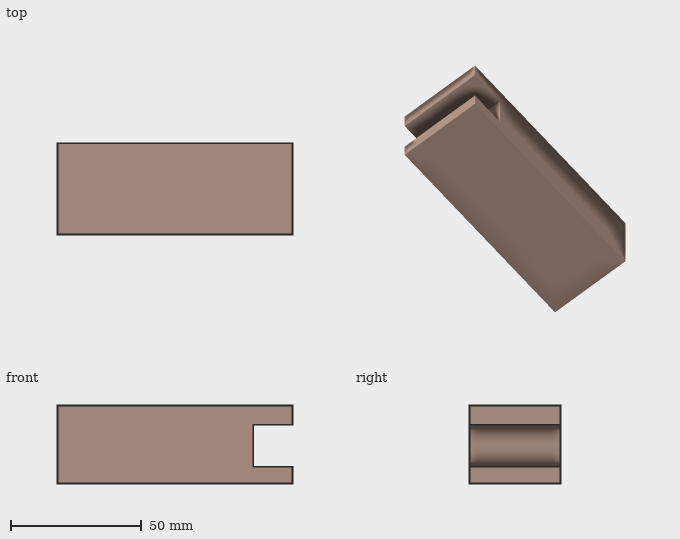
import cadquery as cq

length = 90.0
width = 35.0
height = 30.0

slot_depth = 15.0
slot_height = 16.0
lower_lip = 6.5

block = cq.Workplane("XY").box(length, width, height, centered=(False, True, False))

slot = (
    cq.Workplane("XY")
    .box(slot_depth, width, slot_height, centered=(False, True, False))
    .translate((length - slot_depth, 0, lower_lip))
)

result = block.cut(slot)